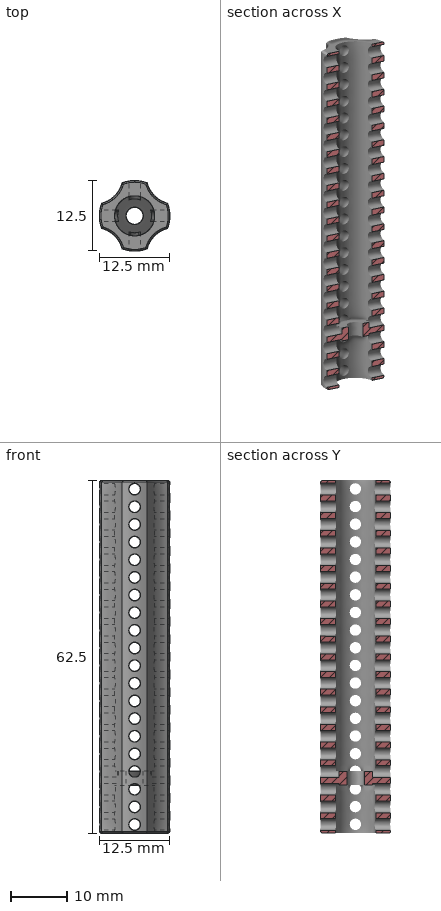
import cadquery as cq

OUTER_RADIUS = 6.25
LENGTH = 62.5
END_CHAMFER = 0.3

LOBE_COUNT = 4
FLUTE_RADIUS = 5.0
FLUTE_CENTER_RADIUS = 10.0

BORE_DIAMETER = 7.1
WEB_HOLE_DIAMETER = 3.0
WEB_BOTTOM = 8.5
WEB_TOP = 11.0

CROSS_HOLE_DIAMETER = 2.0
CROSS_HOLE_COUNT = 20
CROSS_HOLE_PITCH = LENGTH / CROSS_HOLE_COUNT
FIRST_HOLE_HEIGHT = CROSS_HOLE_PITCH / 2
CORE_RADIUS = 3.0

LOBE_STEP = 360.0 / LOBE_COUNT


def axial_cylinder(diameter, bottom, top):
    return cq.Workplane("XY").workplane(offset=bottom).circle(diameter / 2).extrude(top - bottom)


def fluted_body():
    """Round bar with a concave flute between neighboring lobes, chamfered at both ends."""
    flutes = (
        cq.Workplane("XY")
        .polarArray(FLUTE_CENTER_RADIUS, LOBE_STEP / 2, 360, LOBE_COUNT)
        .circle(FLUTE_RADIUS)
        .extrude(LENGTH)
    )
    body = axial_cylinder(2 * OUTER_RADIUS, 0, LENGTH).cut(flutes)
    return body.faces("<Z or >Z").chamfer(END_CHAMFER)


def cut_bores(body):
    """Cut the long upper bore, the short lower bore and the hole through the web."""
    body = body.cut(axial_cylinder(BORE_DIAMETER, WEB_TOP, LENGTH))
    body = body.cut(axial_cylinder(BORE_DIAMETER, 0, WEB_BOTTOM))
    return body.cut(axial_cylinder(WEB_HOLE_DIAMETER, WEB_BOTTOM, WEB_TOP))


def cross_hole_row():
    """Evenly pitched cylinders along the +X lobe, stopping at the round core."""
    centers = [(0, FIRST_HOLE_HEIGHT + index * CROSS_HOLE_PITCH) for index in range(CROSS_HOLE_COUNT)]
    row = cq.Workplane("YZ").pushPoints(centers).circle(CROSS_HOLE_DIAMETER / 2).extrude(OUTER_RADIUS)
    return row.cut(axial_cylinder(2 * CORE_RADIUS, 0, LENGTH))


def cut_cross_holes(body):
    row = cross_hole_row()
    for lobe in range(LOBE_COUNT):
        body = body.cut(row.rotate((0, 0, 0), (0, 0, 1), lobe * LOBE_STEP))
    return body


result = cut_cross_holes(cut_bores(fluted_body()))